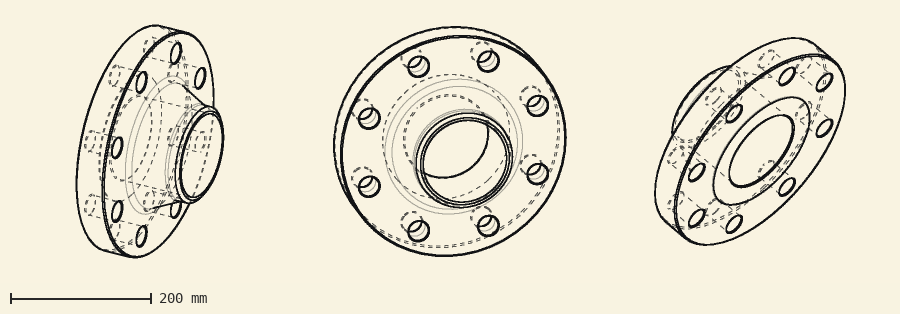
import cadquery as cq
import math

total_length = 116.0
flange_diameter = 330
flange_edge_chamfer = 2.0
raised_face_diameter = 186.0
raised_face_height = 2.0
raised_face_fillet = 1.0
flange_back = 47.0

hub_base_diameter = 189.0
neck_diameter = 141.2
neck_start = 97.7
hub_fillet = 10
weld_bevel_height = 5.5
weld_bevel_angle = 37.5
weld_bevel_length = weld_bevel_height * math.tan(math.radians(weld_bevel_angle))

bore_diameter = 122
bore_chamfer = 1.5

bolt_hole_count = 8
bolt_hole_diameter = 28.7
bolt_hole_chamfer = 1.3
bolt_circle_radius = 133.3


def cylinder(diameter, start, end):
    """Cylinder along X between two positions."""
    return cq.Workplane("YZ", origin=(start, 0, 0)).circle(diameter / 2).extrude(end - start)


def chamfered_cutter(diameter, chamfer, start, end):
    """Hole cutter along X that widens into a 45 degree chamfer at its start."""
    radius = diameter / 2
    mouth = cq.Solid.makeCone(
        radius + chamfer, radius, chamfer, cq.Vector(start, 0, 0), cq.Vector(1, 0, 0)
    )
    return cylinder(diameter, start, end).union(cq.Workplane(obj=mouth))


def fillet_ring(body, position, diameter, radius):
    """Fillet the circular edge of this diameter, or smaller, at a position along X."""
    margin = 0.3
    reach = diameter / 2 + margin
    ring_box = cq.selectors.BoxSelector(
        (position - margin, -reach, -reach), (position + margin, reach, reach), boundingbox=True
    )
    return body.edges(ring_box).edges("%CIRCLE").fillet(radius)


def make_flange():
    plate = cylinder(flange_diameter, raised_face_height, flange_back)
    plate = plate.edges().chamfer(flange_edge_chamfer)
    flange = plate.union(cylinder(raised_face_diameter, 0, flange_back))
    return fillet_ring(flange, raised_face_height, raised_face_diameter, raised_face_fillet)


def make_hub():
    hub_profile = (
        cq.Workplane("XY")
        .moveTo(flange_back, 0)
        .lineTo(flange_back, hub_base_diameter / 2)
        .lineTo(neck_start, neck_diameter / 2)
        .lineTo(total_length - weld_bevel_length, neck_diameter / 2)
        .lineTo(total_length, neck_diameter / 2 - weld_bevel_height)
        .lineTo(total_length, 0)
        .close()
    )
    return hub_profile.revolve(360, (0, 0, 0), (1, 0, 0))


def round_hub_ends(body):
    """Blend the cone into the flange back and into the straight neck."""
    body = fillet_ring(body, flange_back, hub_base_diameter, hub_fillet)
    return fillet_ring(body, neck_start, neck_diameter, hub_fillet)


def make_bolt_holes():
    """Through holes straddling the Y and Z axes, chamfered on both flange faces."""
    middle = (raised_face_height + flange_back) / 2
    front_half = chamfered_cutter(bolt_hole_diameter, bolt_hole_chamfer, raised_face_height, middle)
    back_half = front_half.mirror("YZ", (middle, 0, 0))
    hole = front_half.union(back_half).translate((0, bolt_circle_radius, 0))
    pitch = 360 / bolt_hole_count
    holes = cq.Workplane()
    for index in range(bolt_hole_count):
        holes.add(hole.rotate((0, 0, 0), (1, 0, 0), (index + 0.5) * pitch).vals())
    return holes.combine()


body = round_hub_ends(make_flange().union(make_hub()))
bore = chamfered_cutter(bore_diameter, bore_chamfer, 0, total_length)
result = body.cut(bore).cut(make_bolt_holes())